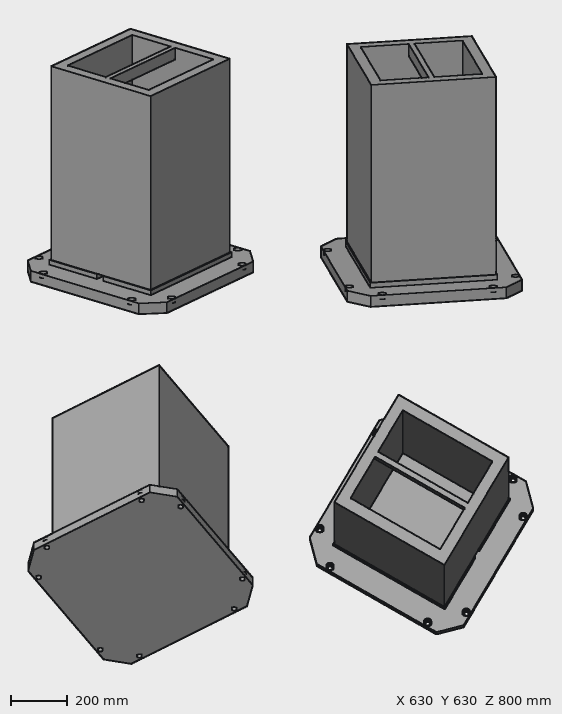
import cadquery as cq

plate_side = 630.0
plate_height = 42.0
corner_cut = 70.0

total_height = 800.0
column_side = 450.0
wall = 42.0
rib_thickness = 21.0
rib_height = 45.0
collar_thickness = 4.0
collar_height = 18.0
drain_width = 28.0

hole_offset = 200.0
hole_reach = 300.0
hole_diameter = 18.0
counterbore_diameter = 28.0
counterbore_depth = 16.0

cavity_side = column_side - 2 * wall
collar_side = column_side + 2 * collar_thickness
column_height = total_height - plate_height


def make_plate():
    plate = cq.Workplane("XY").rect(plate_side, plate_side).extrude(plate_height)
    plate = plate.edges("|Z").chamfer(corner_cut)
    points = []
    for reach in (-hole_reach, hole_reach):
        for offset in (-hole_offset, hole_offset):
            points.append((reach, offset))
            points.append((offset, reach))
    return (
        plate.faces(">Z").workplane().pushPoints(points)
        .cboreHole(hole_diameter, counterbore_diameter, counterbore_depth)
    )


def make_collar():
    return (
        cq.Workplane("XY").workplane(offset=plate_height)
        .rect(collar_side, collar_side).extrude(collar_height)
    )


def make_column():
    return (
        cq.Workplane("XY").workplane(offset=plate_height)
        .rect(column_side, column_side).extrude(column_height)
    )


def make_cavity():
    """Square cavity, open at the top and floored by the plate."""
    return (
        cq.Workplane("XY").workplane(offset=plate_height)
        .rect(cavity_side, cavity_side).extrude(column_height)
    )


def make_rib():
    """Shallow bar that spans the cavity along Y, flush with its rim."""
    return (
        cq.Workplane("XY").workplane(offset=total_height - rib_height)
        .rect(rib_thickness, cavity_side).extrude(rib_height)
    )


def make_drain():
    """Slot through the -Y wall and collar, level with the cavity floor."""
    drain_depth = wall + collar_thickness
    return (
        cq.Workplane("XY").workplane(offset=plate_height)
        .center(0, -(collar_side - drain_depth) / 2)
        .rect(drain_width, drain_depth).extrude(collar_height)
    )


result = make_plate().union(make_collar()).union(make_column())
result = result.cut(make_cavity()).union(make_rib()).cut(make_drain())